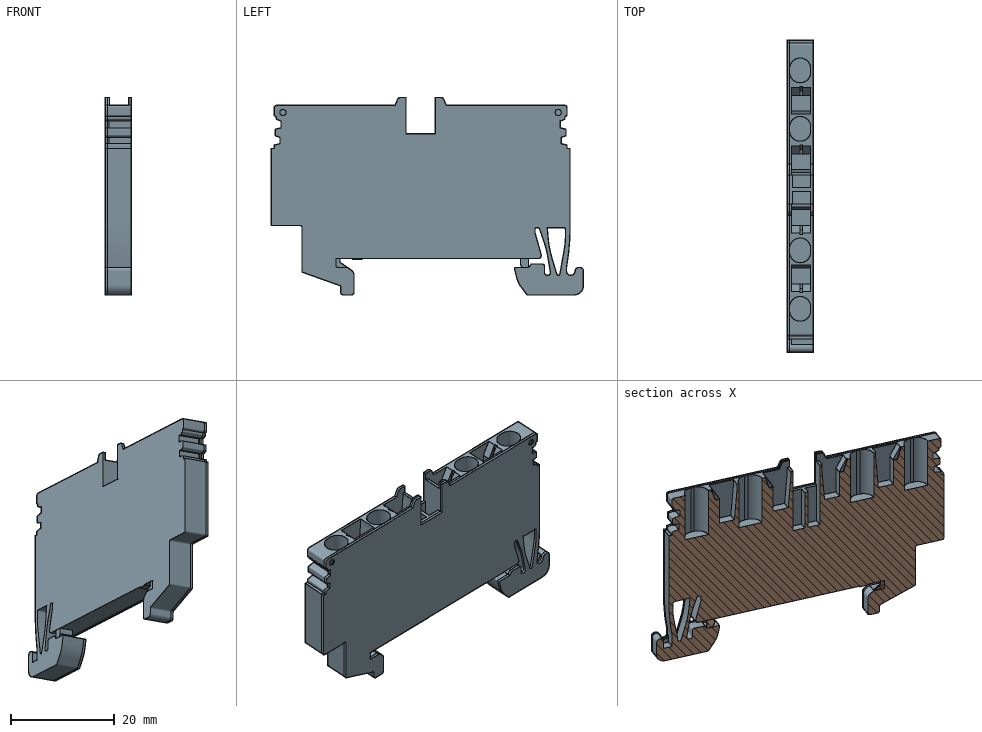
import cadquery as cq
import math

THICKNESS = 5.1
COVER = 0.5
POCKET_X_MIN = 0.9
FAR_WALL = 0.53
POCKET_X_MAX = THICKNESS - FAR_WALL

HEIGHT = 38.05
TOP = 36.55
SLOT_FLOOR = 31.1
BASE = 7.0
HALF_BODY = 28.8
HALF_SLOT = 2.78
EAR_TOP = 4.3
EAR_FOOT = 4.95
LENGTH = 60.15
FOOT_END = HALF_BODY - LENGTH

GRIP = 28.2
GRIP_STEP = 27.8
GRIP_RIB = 28.0
SHOULDER = 28.25

STEP_Z = 13.35
STEP_Y = 22.85
HOOK_BACK = 15.4
HOOK_FRONT = 12.8
HOOK_CREST = 14.1
FOOT_TOP = 6.0

RAIL_SEAT = 5.35
HOOK_NOTCH = 16.3
SPRING_TOP = 12.95
SPRING_BOTTOM = 3.85

GAP_INNER = -22.05
WINDOW_OUTER = -27.85
LEG_FACE = -28.12
LUG_BACK = -29.85
LUG_RECESS_FLOOR = 3.0

STOP_X_MIN = 2.3
HOOK_STOP_FACE = 15.5
STOP_INNER = -19.2
STOP_OUTER = -20.8

MARKER_X_MIN = 0.8
MARKER_RECESS = 0.4

HOLE_LENGTH = 4.76
HOLE_DEPTH = 10.0
OUTER_HOLE = 22.95
INNER_HOLE = 11.7
POCKET_PITCH = OUTER_HOLE - INNER_HOLE
POCKET_DEPTH = 8.0
POCKET_INNER = 14.55
POCKET_OUTER = 19.65
RAMP_LENGTH = 1.5
RAMP_DEPTH = 2.6
LIP_DEPTH = 1.2
LIP_RUN = 0.55
GROOVE_WIDTH = 0.55
GROOVE_OVERRUN = 0.2
GROOVE_SLOPE = 0.85

BRIDGE_DEPTH = 8.0
BRIDGE_X_MIN = 1.06
BRIDGE_WEB = 0.36

PIN_RADIUS = 0.6
PIN_Y = 26.5
PIN_Z = 35.15
PIN_LENGTH = 2.0
PIN_RECESS = 0.25

PAD_START = 11.25
PAD_END = 13.1
PAD_HEIGHT = 0.15


def rounded_outline(corners):
    """Closed YZ outline from (y, z, radius) corners, each rounded by a tangent arc."""
    pieces = []
    for i, (y, z, radius) in enumerate(corners):
        if radius == 0:
            pieces.append([(y, z)])
            continue
        before = corners[i - 1]
        after = corners[(i + 1) % len(corners)]
        corner = cq.Vector(y, z, 0)
        to_before = (cq.Vector(before[0], before[1], 0) - corner).normalized()
        to_after = (cq.Vector(after[0], after[1], 0) - corner).normalized()
        half_angle = to_before.getAngle(to_after) / 2
        setback = radius / math.tan(half_angle)
        center = corner + (to_before + to_after).normalized() * (radius / math.sin(half_angle))
        middle = center + (corner - center).normalized() * radius
        points = (corner + to_before * setback, middle, corner + to_after * setback)
        pieces.append([(p.x, p.y) for p in points])

    outline = cq.Workplane("YZ").moveTo(*pieces[0][-1])
    for piece in pieces[1:] + pieces[:1]:
        outline = outline.lineTo(*piece[0])
        if len(piece) > 1:
            outline = outline.threePointArc(piece[1], piece[2])
    return outline.close()


def slab(corners, x_min, x_max):
    """Rounded YZ outline extruded between two X positions."""
    return rounded_outline(corners).extrude(x_max - x_min).translate((x_min, 0, 0))


def box(x_min, x_max, y_a, y_b, z_min, z_max):
    """Box between two corners; the Y limits may come in either order."""
    y_min = min(y_a, y_b)
    return cq.Workplane("XY").box(
        x_max - x_min, abs(y_b - y_a), z_max - z_min, centered=False
    ).translate((x_min, y_min, z_min))


UPPER_MARKER = (26.9, 32.2, 33.47)
LOWER_MARKER = (27.1, 29.15, 30.35)
MARKER_FLOORS = (UPPER_MARKER, LOWER_MARKER)

UPPER_END = [
    (HALF_SLOT, SLOT_FLOOR, 0),
    (HALF_SLOT, HEIGHT, 0),
    (EAR_TOP, HEIGHT, 0.6),
    (EAR_FOOT, TOP, 0),
    (GRIP, TOP, 0.5),
    (GRIP, 34.55, 0.2),
    (GRIP_STEP, 34.35, 0),
    (GRIP_STEP, 33.85, 0.2),
    (UPPER_MARKER[0], UPPER_MARKER[2], 0),
    (UPPER_MARKER[0], UPPER_MARKER[1], 0),
    (GRIP_RIB, 31.95, 0.15),
    (GRIP_RIB, 30.65, 0.15),
    (LOWER_MARKER[0], LOWER_MARKER[2], 0),
    (LOWER_MARKER[0], LOWER_MARKER[1], 0),
    (GRIP, 28.9, 0.15),
    (GRIP, SHOULDER, 0),
    (HALF_BODY, SHOULDER, 0),
]

FIXED_HOOK = [
    (HALF_BODY, STEP_Z, 0.3),
    (STEP_Y, STEP_Z, 0.3),
    (STEP_Y, 4.4, 0.3),
    (HOOK_BACK, 1.75, 0.3),
    (HOOK_BACK, 0, 0.55),
    (HOOK_FRONT, 0, 0.55),
    (HOOK_FRONT, 4.45, 1.2),
    (HOOK_CREST, RAIL_SEAT, 0),
    (HOOK_NOTCH, RAIL_SEAT, 0.3),
    (HOOK_NOTCH, BASE, 0),
]

SPRING_FOOT = [
    (-23.4, BASE, 0.6),
    (-23.0, 8.6, 0.8),
    (GAP_INNER, 12.0, 0.8),
    (GAP_INNER, SPRING_TOP, 0.25),
    (-22.8, SPRING_TOP, 0.3),
    (-24.2, 8.9, 15),
    (-25.05, SPRING_BOTTOM, 0.42),
    (-23.9, SPRING_BOTTOM, 0.42),
    (-23.85, FOOT_TOP, 0.5),
    (-21.3, FOOT_TOP, 0.3),
    (STOP_OUTER, RAIL_SEAT, 0),
    (-18.0, RAIL_SEAT, 0.3),
    (-18.65, 2.45, 6),
    (-20.5, 0, 0.3),
    (FOOT_END, 0, 1.85),
    (FOOT_END, RAIL_SEAT, 0.74),
    (LUG_BACK, RAIL_SEAT, 0.85),
    (-29.55, SPRING_BOTTOM, 0.7),
    (LEG_FACE, SPRING_BOTTOM, 0.7),
    (LEG_FACE, 5.4, 0),
    (-HALF_BODY, 9.4, 45),
]

SPRING_WINDOW = [
    (-24.4, SPRING_TOP, 0),
    (WINDOW_OUTER, SPRING_TOP, 0.3),
    (WINDOW_OUTER, 10.0, 12),
    (-26.75, SPRING_BOTTOM, 0.2),
    (-26.3, SPRING_BOTTOM, 0.2),
    (-24.75, 8.9, 20),
]


def block_profile(x_min, x_max):
    """Side profile shared by the cover and the housing."""
    other_end = [(-y, z, radius) for y, z, radius in reversed(UPPER_END)]
    block = slab(UPPER_END + FIXED_HOOK + SPRING_FOOT + other_end, x_min, x_max)
    return block.cut(slab(SPRING_WINDOW, x_min, x_max))


def conductor_hole(y):
    """Oblong entry with round ends, sunk from the top face."""
    middle = (COVER + POCKET_X_MAX) / 2
    mouth = cq.Workplane("XY").center(middle, y).slot2D(HOLE_LENGTH, POCKET_X_MAX - COVER, 90)
    return mouth.extrude(HOLE_DEPTH).translate((0, 0, TOP - HOLE_DEPTH))


def release_pocket(side, shift):
    """Screwdriver pocket with a grooved ramp at its outer end, moved inwards by shift."""
    inner = POCKET_INNER - shift
    outer = POCKET_OUTER - shift
    ramp_end = outer - RAMP_LENGTH
    groove_end = outer + GROOVE_OVERRUN
    ramp_foot = TOP - RAMP_DEPTH
    floor = TOP - POCKET_DEPTH
    pocket = [
        (inner, HEIGHT),
        (inner, TOP - LIP_DEPTH),
        (inner + LIP_RUN, floor),
        (ramp_end, floor),
        (ramp_end, ramp_foot),
        (outer, TOP),
        (outer, HEIGHT),
    ]
    groove = [
        (ramp_end, HEIGHT),
        (ramp_end, ramp_foot),
        (groove_end - GROOVE_SLOPE, ramp_foot),
        (groove_end, TOP),
        (groove_end, HEIGHT),
    ]
    middle = (POCKET_X_MIN + POCKET_X_MAX) / 2
    pocket = [(side * y, z, 0) for y, z in pocket]
    groove = [(side * y, z, 0) for y, z in groove]
    return slab(pocket, POCKET_X_MIN, POCKET_X_MAX).union(
        slab(groove, middle - GROOVE_WIDTH / 2, middle + GROOVE_WIDTH / 2)
    )


def ear_gap(side):
    """Opening between the ears, above the top face."""
    return box(POCKET_X_MIN, POCKET_X_MAX, side * HALF_SLOT, side * EAR_FOOT, TOP, HEIGHT)


def bridge_pocket(side):
    """Pocket in the slot floor beside the centre web."""
    return box(
        BRIDGE_X_MIN, POCKET_X_MAX, side * BRIDGE_WEB, side * HALF_SLOT,
        SLOT_FLOOR - BRIDGE_DEPTH, SLOT_FLOOR,
    )


def lug_recess():
    """Deeper gap behind the release lug, leaving the valley only along the cover."""
    return box(POCKET_X_MIN, THICKNESS, LEG_FACE, LUG_BACK, LUG_RECESS_FLOOR, RAIL_SEAT)


def locating_pin(side, recess):
    """Cylinder of a pin that joins cover and housing, starting a recess below the cover face."""
    pin = cq.Workplane("YZ").center(side * PIN_Y, PIN_Z).circle(PIN_RADIUS)
    return pin.extrude(PIN_LENGTH - recess).translate((recess, 0, 0))


def marker_recess(side, floor_y, z_min, z_max):
    """Deeper part of a marker groove, clear of the wall beside the cover."""
    return box(
        MARKER_X_MIN, THICKNESS, side * (floor_y - MARKER_RECESS), side * floor_y, z_min, z_max,
    )


def make_cover():
    """Thin plate with a hole for each pin."""
    cover = block_profile(0, COVER)
    for side in (1, -1):
        cover = cover.cut(locating_pin(side, 0))
    return cover


def make_housing():
    """Main block with its holes, pockets and grooves."""
    housing = block_profile(COVER, THICKNESS)
    housing = housing.union(box(COVER, THICKNESS, PAD_START, PAD_END, BASE - PAD_HEIGHT, BASE))
    for side in (1, -1):
        for y in (OUTER_HOLE, INNER_HOLE):
            housing = housing.cut(conductor_hole(side * y))
        for shift in (0, POCKET_PITCH):
            housing = housing.cut(release_pocket(side, shift))
        for groove_floor in MARKER_FLOORS:
            housing = housing.cut(marker_recess(side, *groove_floor))
        housing = housing.cut(ear_gap(side))
        housing = housing.cut(bridge_pocket(side))
        housing = housing.cut(locating_pin(side, 0))
    return housing.cut(lug_recess())


HOOK_STOP = [
    (HOOK_NOTCH, BASE, 0),
    (HOOK_NOTCH, RAIL_SEAT, 0.3),
    (HOOK_CREST, RAIL_SEAT, 0),
    (HOOK_STOP_FACE, 6.3, 0.3),
    (HOOK_STOP_FACE, BASE, 0),
]
SPRING_STOP = [
    (STOP_INNER, BASE, 0),
    (STOP_INNER, 5.9, 0),
    (-19.5, RAIL_SEAT, 0),
    (STOP_OUTER, RAIL_SEAT, 0),
    (STOP_OUTER, BASE, 0),
]

pins = [locating_pin(side, PIN_RECESS) for side in (1, -1)]
cover = make_cover()
housing = make_housing()
hook_stop = slab(HOOK_STOP, STOP_X_MIN, THICKNESS)
spring_stop = slab(SPRING_STOP, STOP_X_MIN, THICKNESS)

result = cq.Compound.makeCompound(
    [cover.val(), housing.val(), hook_stop.val(), spring_stop.val()] + [pin.val() for pin in pins]
)